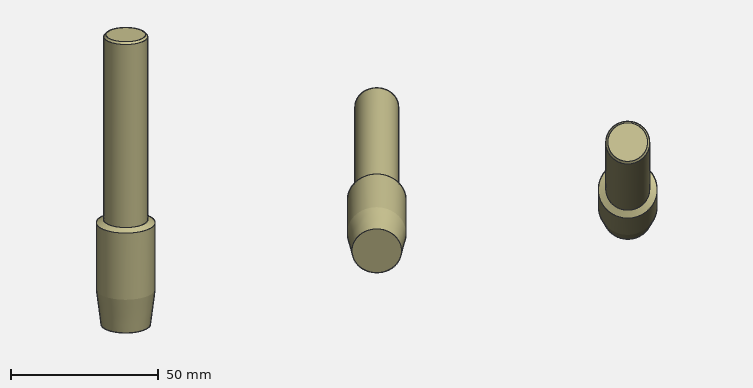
import cadquery as cq

total_length = 105.0

sleeve_radius = 10.0
sleeve_tip_radius = 8.4
sleeve_height = 37.9
taper_height = 12.6
rim_chamfer_height = 1.0

pin_radius = 7.5
pin_chamfer = 0.7
bore_floor = taper_height


def make_sleeve():
    """Revolved sleeve with a blind bore that receives the pin."""
    body = (
        cq.Workplane("XZ")
        .moveTo(0, 0)
        .lineTo(sleeve_tip_radius, 0)
        .lineTo(sleeve_radius, taper_height)
        .lineTo(sleeve_radius, sleeve_height - rim_chamfer_height)
        .lineTo(pin_radius, sleeve_height)
        .lineTo(0, sleeve_height)
        .close()
        .revolve(360, (0, 0), (0, 1))
    )
    bore = (
        cq.Workplane("XY", origin=(0, 0, bore_floor))
        .circle(pin_radius)
        .extrude(sleeve_height - bore_floor)
    )
    return body.cut(bore)


def make_pin():
    """Straight rod from the bore floor to the top, chamfered at its free end."""
    return (
        cq.Workplane("XY", origin=(0, 0, bore_floor))
        .circle(pin_radius)
        .extrude(total_length - bore_floor)
        .faces(">Z")
        .chamfer(pin_chamfer)
    )


sleeve = make_sleeve()
pin = make_pin()
result = cq.Compound.makeCompound([sleeve.val(), pin.val()])